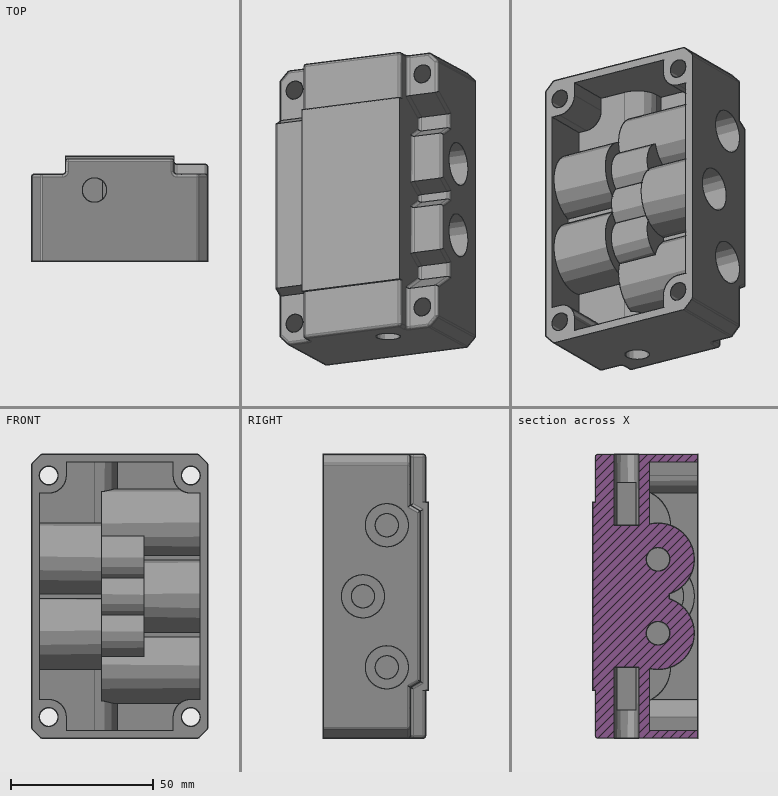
import cadquery as cq
import math

width = 62.0
height = 100.0
rib_depth = 36.1
pad_depth = 37.0
pad_height = 66.2
rib_width = 38.2
corner_chamfer = 3.4
edge_radius = 1.0

flank_depth = 30.7
saddle_depth = 27.0
notch_depth = 21.1
raised_depth = 34.2
raised_half_height = 30.0
slope_angle = 30.0
saddle_half_height = 8.2
notch_height = 5.0

wall = 2.8
deep_floor = flank_depth - wall
screw_x = 25.0
screw_z = 42.5
screw_diameter = 6.5
screw_boss_radius = 6.2

side_port_z = 13.0
outer_port_z = 25.0
port_y = 14.0
outer_port_y = 22.4
sleeve_radius = 12.8
link_radius = 9.0
sleeve_end_x = -6.5
link_end_x = 8.6
left_web_y = 10.0
right_web_y = 15.4
port_diameter = 15.2
passage_diameter = 8.2
port_length = 16.0

pilot_x = -8.9
pilot_y = 25.1
pilot_diameter = 8.6
pilot_sleeve_radius = 8.1
pilot_step_x = -6.1
pilot_step_depth = 10.0
shallow_floor = pilot_y - pilot_sleeve_radius

half_width = width / 2
half_height = height / 2
half_rib = rib_width / 2
half_pad = pad_height / 2
inner_x = half_width - wall
inner_z = half_height - wall


def block(x0, x1, y0, y1, z0, z1):
    """Box between opposite corners."""
    return cq.Workplane("XY").box(x1 - x0, y1 - y0, z1 - z0, centered=False).translate((x0, y0, z0))


def bar_x(x0, x1, y, z, radius):
    """Round bar along X."""
    return cq.Workplane("YZ").center(y, z).circle(radius).extrude(x1 - x0).translate((x0, 0, 0))


def bar_y(x, z, radius, depth):
    """Round bar along +Y from the open side."""
    return cq.Workplane("XZ").center(x, z).circle(radius).extrude(-depth)


def bar_z(z0, z1, radius):
    """Round bar along Z on the pilot axis."""
    return cq.Workplane("XY").center(pilot_x, pilot_y).circle(radius).extrude(z1 - z0).translate((0, 0, z0))


def slope_run(rise):
    """Z distance taken by a sloped step of the given rise."""
    return rise * math.tan(math.radians(slope_angle))


def flank_cut(upper_profile, x0, x1):
    """Material above a flank profile of (z, y) points, mirrored about Z = 0."""
    lower_profile = [(-z, y) for z, y in reversed(upper_profile)]
    top = pad_depth + 1
    floor = upper_profile + lower_profile
    points = [(top, half_height)] + [(y, z) for z, y in floor] + [(top, -half_height)]
    return cq.Workplane("YZ").polyline(points).close().extrude(x1 - x0).translate((x0, 0, 0))


def outer_body():
    """Chamfered block with the rib, both stepped flanks and rounded edges."""
    body = block(-half_width, half_width, 0, rib_depth, -half_height, half_height)
    body = body.edges("|Y").chamfer(corner_chamfer)

    saddle_top = side_port_z + saddle_half_height
    saddle_bottom = side_port_z - saddle_half_height
    saddle_run = slope_run(saddle_depth - notch_depth)
    notch_start = saddle_top + saddle_run
    notch_end = notch_start + notch_height
    flank_start = notch_end + slope_run(flank_depth - notch_depth)
    left_profile = [
        (half_height, flank_depth),
        (flank_start, flank_depth),
        (notch_end, notch_depth),
        (notch_start, notch_depth),
        (saddle_top, saddle_depth),
        (saddle_bottom, saddle_depth),
        (saddle_bottom - saddle_run, notch_depth),
    ]
    right_profile = [
        (half_height, flank_depth),
        (raised_half_height + slope_run(raised_depth - flank_depth), flank_depth),
        (raised_half_height, raised_depth),
    ]
    body = body.cut(flank_cut(left_profile, -half_width, -half_rib))
    body = body.cut(flank_cut(right_profile, half_rib, half_width))

    body = body.union(block(-half_rib, half_rib, raised_depth, pad_depth, -half_pad, half_pad))

    body = body.edges("|Y").filter(is_corner_edge).fillet(edge_radius)
    body = body.edges().filter(is_rib_foot).fillet(edge_radius)
    return body.edges().filter(is_back_rim).fillet(edge_radius)


def same(a, b):
    """True when two coordinates coincide."""
    return abs(a - b) < 0.01


def is_corner_edge(edge):
    """Edge along Y between a corner chamfer and an outer wall."""
    return same(edge.BoundingBox().ymin, 0)


def is_rib_foot(edge):
    """Inside edge between a flank floor and the rib."""
    center = edge.Center()
    along_floor = edge.BoundingBox().zlen > 0.01
    return same(abs(center.x), half_rib) and center.y < rib_depth - 0.01 and along_floor


def is_back_rim(edge):
    """Outside edge around the stepped mounting side, leaving the raised pad sharp."""
    center = edge.Center()
    if edge.BoundingBox().ymin < notch_depth - edge_radius:
        return False
    on_end = same(abs(center.z), half_height)
    beside_rib = abs(center.x) > half_rib + 2 * edge_radius
    on_corner = beside_rib and abs(center.z) > half_height - 1.5 * corner_chamfer
    on_side = same(abs(center.x), half_width)
    on_rib = same(center.y, rib_depth) and same(abs(center.x), half_rib)
    return on_end or on_corner or on_side or on_rib


def screw_boss():
    """Rounded boss in the +X +Z corner of the cavity."""
    x0 = screw_x - screw_boss_radius
    z0 = screw_z - screw_boss_radius
    boss = block(x0, inner_x + wall / 2, 0, deep_floor + wall / 2, z0, inner_z + wall / 2)
    return boss.edges("|Y and <X and <Z").fillet(screw_boss_radius)


def sleeves():
    """Walls around the ports, their links and the pilot holes inside the cavity."""
    walls = bar_z(-inner_z, inner_z, pilot_sleeve_radius)
    for side in (-1, 1):
        walls = walls.union(bar_x(-inner_x, sleeve_end_x, port_y, side * side_port_z, sleeve_radius))
        walls = walls.union(bar_x(sleeve_end_x, inner_x, outer_port_y, side * outer_port_z, sleeve_radius))
        walls = walls.union(bar_x(sleeve_end_x, link_end_x, port_y, side * side_port_z, link_radius))
    walls = walls.union(bar_x(sleeve_end_x, link_end_x, port_y, 0, link_radius))
    walls = walls.union(bar_x(link_end_x, inner_x, port_y, 0, sleeve_radius))
    walls = walls.union(block(-inner_x, sleeve_end_x, left_web_y, shallow_floor, -side_port_z, side_port_z))
    walls = walls.union(block(sleeve_end_x, inner_x, right_web_y, deep_floor, -outer_port_z, outer_port_z))
    walls = walls.union(block(link_end_x, inner_x, port_y, right_web_y, -sleeve_radius, sleeve_radius))
    pilot_side_x = pilot_x + pilot_sleeve_radius
    return walls.union(block(pilot_x, pilot_side_x, pilot_y, deep_floor, -inner_z, inner_z))


def cavity():
    """Open space of the block: shallow on the -X side, deep on the +X side."""
    space = block(-inner_x, inner_x, 0, shallow_floor, -inner_z, inner_z)
    space = space.union(block(pilot_x, inner_x, 0, deep_floor, -inner_z, inner_z))
    boss = screw_boss()
    for corner in (boss, boss.mirror("YZ")):
        space = space.cut(corner).cut(corner.mirror("XY"))
    return space.cut(sleeves())


def holes():
    """Screw holes and stepped ports."""
    port_radius = port_diameter / 2
    passage_radius = passage_diameter / 2
    port_floor_x = half_width - port_length
    drills = cq.Workplane("XY")
    for side in (-1, 1):
        for x in (-screw_x, screw_x):
            drills = drills.add(bar_y(x, side * screw_z, screw_diameter / 2, pad_depth))
        port_z = side * side_port_z
        drills = drills.add(bar_x(-half_width, -port_floor_x, port_y, port_z, port_radius))
        drills = drills.add(bar_x(-half_width, 0, port_y, port_z, passage_radius))
        port_z = side * outer_port_z
        drills = drills.add(bar_x(port_floor_x, half_width, outer_port_y, port_z, port_radius))
        drills = drills.add(bar_x(0, half_width, outer_port_y, port_z, passage_radius))
    drills = drills.add(bar_x(port_floor_x, half_width, port_y, 0, port_radius))
    return drills.add(bar_x(0, half_width, port_y, 0, passage_radius))


def pilot_hole():
    """Blind hole from the +Z end with a flat ledge on its +X side."""
    hole = bar_z(outer_port_z, half_height, pilot_diameter / 2)
    ledge_top = half_height - pilot_step_depth
    ledge = block(pilot_step_x, 0, 0, pad_depth, 0, ledge_top)
    return hole.cut(ledge)


result = outer_body().cut(cavity())
for drill in holes().vals():
    result = result.cut(cq.Workplane(drill))
result = result.cut(pilot_hole()).cut(pilot_hole().mirror("XY"))